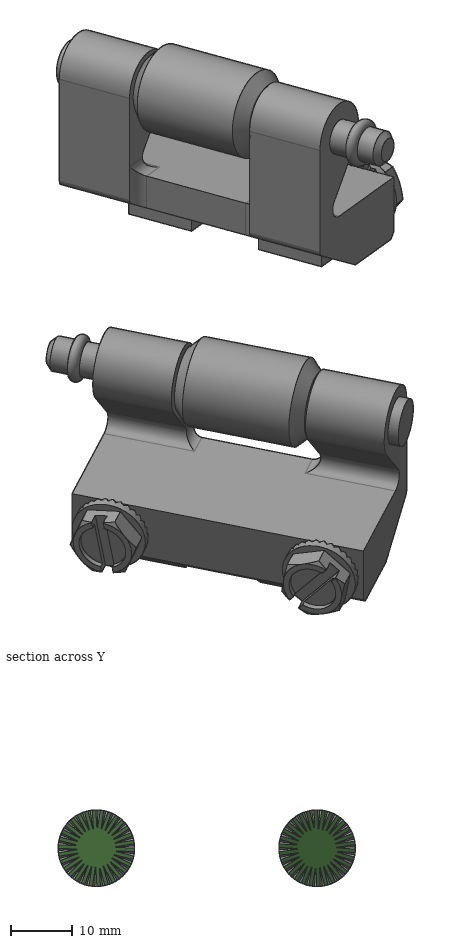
import cadquery as cq
import math


overall_length = 61.1
pin_diameter = 5.9
pin_tip_chamfer = 1.0
head_diameter = 8.0
head_thickness = 1.8
ring_section_diameter = 2.0
groove_diameter = 4.0
ring_x = 56.1

bracket_width = 50.05
bracket_start_x = head_thickness
bracket_end_x = bracket_start_x + bracket_width
middle_x = bracket_start_x + bracket_width / 2
lug_radius = 6.0
lug_width = 13.5
window_width = bracket_width - 2 * lug_width
inner_radius = 2.0
notch_center_z = -12.45
floor_z = notch_center_z - inner_radius
back_y = 17.0
pad_front_y = 5.0
pad_bottom_z = -27.5
pad_height = 2.0
bracket_bottom_z = pad_bottom_z + pad_height
back_chamfer = 3.0
slope_angle = 30.0
slope_top_z = bracket_bottom_z + (pad_front_y + lug_radius) * math.tan(math.radians(slope_angle))
slope_corner_radius = 1.0
bar_front_y = -4.0
pad_width = 12.1
pad_spacing = 24.9

roller_diameter = 15.0
roller_length = 22.3
roller_chamfer = 2.0

screw_spacing = 36.05
screw_positions = (middle_x - screw_spacing / 2, middle_x + screw_spacing / 2)
screw_z = -20.0
shank_diameter = 6.0
shank_depth = 10.0
seat_gap = 0.3
flange_diameter = 12.5
flange_thickness = 1.7
tooth_count = 30
tooth_depth = 0.55
hex_flats = 10.0
hex_height = 3.4
hex_corner_chamfer = 0.5
slot_width = 2.0
slot_depth = 2.0
recess_diameter = 8.0
recess_depth = 1.0
screw_turns = (-39.5, 10.0)


def x_cylinder(diameter, start_x, end_x):
    """Solid cylinder on the hinge axis."""
    return cq.Workplane("YZ").workplane(offset=start_x).circle(diameter / 2).extrude(end_x - start_x)


def make_side_profile():
    """Closed bracket outline in the YZ plane, including the depth of the pads."""
    flank_angle = math.asin((lug_radius + inner_radius) / -notch_center_z)
    normal_y = math.cos(flank_angle)
    normal_z = -math.sin(flank_angle)
    flank_top = (lug_radius * normal_y, lug_radius * normal_z)
    flank_bottom = (-inner_radius * normal_y, notch_center_z - inner_radius * normal_z)
    return (
        cq.Workplane("YZ")
        .workplane(offset=bracket_start_x)
        .moveTo(-lug_radius, 0)
        .threePointArc((0, lug_radius), flank_top)
        .lineTo(*flank_bottom)
        .threePointArc((-inner_radius, notch_center_z), (0, floor_z))
        .lineTo(back_y, floor_z)
        .lineTo(back_y, pad_bottom_z + back_chamfer)
        .lineTo(back_y - back_chamfer, pad_bottom_z)
        .lineTo(pad_front_y, pad_bottom_z)
        .lineTo(pad_front_y, bracket_bottom_z)
        .lineTo(-lug_radius, slope_top_z)
        .close()
    )


def cut_pads(bracket):
    """Remove the bottom layer beside and between the two pads."""
    layer = cq.Workplane("XY").workplane(offset=pad_bottom_z)
    waste = layer.center(middle_x, back_y / 2).rect(bracket_width, back_y).extrude(pad_height)
    for side in (-1, 1):
        pad_x = middle_x + side * pad_spacing / 2
        waste = waste.cut(layer.center(pad_x, back_y / 2).rect(pad_width, back_y).extrude(pad_height))
    return bracket.cut(waste)


def cut_window(bracket):
    """Open the space between the lugs and set the cross bar back from the lug fronts."""
    window = (
        cq.Workplane("XY")
        .box(window_width, 2 * back_y, lug_radius - floor_z, centered=(True, True, False))
        .translate((middle_x, 0, floor_z))
        .edges("|Y and <Z")
        .fillet(inner_radius)
    )
    recess = (
        cq.Workplane("XY")
        .box(window_width, lug_radius, lug_radius - bracket_bottom_z, centered=(True, False, False))
        .translate((middle_x, bar_front_y - lug_radius, bracket_bottom_z))
        .edges("|Z and >Y")
        .fillet(inner_radius)
    )
    return bracket.cut(window).cut(recess)


def make_bracket():
    bracket = make_side_profile().extrude(bracket_width)
    slope_corner = cq.selectors.NearestToPointSelector((middle_x, -lug_radius, slope_top_z))
    bracket = bracket.edges("|X").edges(slope_corner).fillet(slope_corner_radius)
    bracket = cut_window(cut_pads(bracket))
    bracket = bracket.cut(x_cylinder(pin_diameter, bracket_start_x, bracket_end_x))
    for screw_x in screw_positions:
        screw_hole = cq.Workplane("XZ", origin=(screw_x, back_y, screw_z))
        bracket = bracket.cut(screw_hole.circle(shank_diameter / 2).extrude(shank_depth))
    return bracket


def make_pin():
    head = x_cylinder(head_diameter, 0, head_thickness)
    shaft = x_cylinder(pin_diameter, head_thickness, overall_length).faces(">X").chamfer(pin_tip_chamfer)
    groove_start = ring_x - ring_section_diameter / 2
    groove_end = ring_x + ring_section_diameter / 2
    groove = x_cylinder(head_diameter, groove_start, groove_end)
    groove = groove.cut(x_cylinder(groove_diameter, groove_start, groove_end))
    return head.union(shaft).cut(groove)


def make_sealing_ring():
    section_radius = ring_section_diameter / 2
    center_radius = groove_diameter / 2 + section_radius
    section = cq.Workplane("XY").center(ring_x, center_radius).circle(section_radius)
    return section.revolve(360, (0, -center_radius), (1, -center_radius))


def make_roller():
    start_x = middle_x - roller_length / 2
    end_x = middle_x + roller_length / 2
    roller = x_cylinder(roller_diameter, start_x, end_x).faces("<X or >X").chamfer(roller_chamfer)
    return roller.cut(x_cylinder(pin_diameter, start_x, end_x))


def make_tooth_groove():
    """V groove from the screw axis outward, widening and deepening to the flange rim and past it."""
    reach = flange_diameter
    half_width = reach * math.tan(math.pi / tooth_count)
    depth = 2 * tooth_depth
    left = cq.Vector(reach, -half_width, 0)
    right = cq.Vector(reach, half_width, 0)
    root = cq.Vector(reach, 0, depth)
    center = cq.Vector(0, 0, 0)
    triangles = [(left, right, root), (center, left, right), (center, right, root), (center, root, left)]
    faces = [cq.Face.makeFromWires(cq.Wire.makePolygon(list(corners), close=True)) for corners in triangles]
    return cq.Solid.makeSolid(cq.Shell.makeShell(faces))


def make_flange():
    """Round flange with V teeth around its underside at Z = 0."""
    flange = cq.Workplane("XY").circle(flange_diameter / 2).extrude(flange_thickness)
    groove = make_tooth_groove()
    axis_start = cq.Vector(0, 0, 0)
    axis_end = cq.Vector(0, 0, 1)
    for index in range(tooth_count):
        flange = flange.cut(cq.Workplane(groove.rotate(axis_start, axis_end, index * 360 / tooth_count)))
    return flange


def make_hex_head():
    """Slotted hexagon on top of the flange, with chamfered corners and a round recess."""
    top_z = flange_thickness + hex_height
    corner_radius = hex_flats / math.sqrt(3)
    head = (
        cq.Workplane("XY")
        .workplane(offset=flange_thickness)
        .polygon(6, 2 * corner_radius)
        .extrude(hex_height)
    )
    corner_envelope = (
        cq.Workplane("XZ")
        .moveTo(0, 0)
        .lineTo(corner_radius, 0)
        .lineTo(corner_radius, top_z - hex_corner_chamfer)
        .lineTo(hex_flats / 2, top_z)
        .lineTo(0, top_z)
        .close()
        .revolve(360, (0, 0), (0, 1))
    )
    top = cq.Workplane("XY").workplane(offset=top_z)
    slot = top.rect(slot_width, 2 * hex_flats).extrude(-slot_depth)
    recess = top.circle(recess_diameter / 2).extrude(-recess_depth)
    return head.intersect(corner_envelope).cut(slot).cut(recess)


def make_screw(screw_x, turn):
    """Screw built along Z, turned about its own axis, then laid along +Y on the bracket back."""
    shank = cq.Workplane("XY").circle(shank_diameter / 2).extrude(-(seat_gap + shank_depth))
    neck = cq.Workplane("XY").circle(shank_diameter / 2).extrude(flange_thickness)
    screw = make_flange().union(shank).union(neck).union(make_hex_head())
    return (
        screw.rotate((0, 0, 0), (0, 0, 1), turn)
        .rotate((0, 0, 0), (1, 0, 0), -90)
        .translate((screw_x, back_y + seat_gap, screw_z))
    )


bracket = make_bracket()
pin = make_pin()
sealing_ring = make_sealing_ring()
roller = make_roller()
screws = [make_screw(screw_x, turn) for screw_x, turn in zip(screw_positions, screw_turns)]

result = cq.Compound.makeCompound(
    [
        bracket.solids().val(),
        pin.solids().val(),
        sealing_ring.solids().val(),
        roller.solids().val(),
        *[screw.solids().val() for screw in screws],
    ]
)